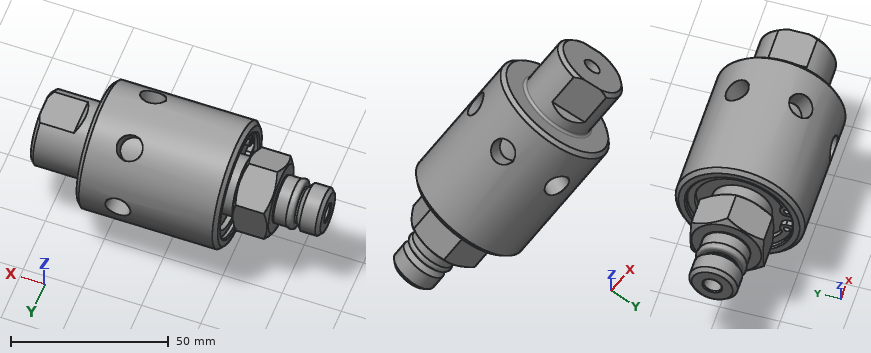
import cadquery as cq
import math

total_length = 96.1
body_diameter = 42.8

shank_radius = 16.1 / 2
tip_chamfer = 1.25
thread_end = 6.5
relief_start = 8.3
relief_radius = 12.1 / 2
ring_start = 8.9
ring_end = 11.2
ring_crown_radius = 8.4
ring_runout_slope = 0.5
undercut_radius = 16.0 / 2
undercut_length = 0.4

hex_start = 15.8
hex_end = 28.0
hex_across_flats = 24.0
hex_face_radius = 11.5
hex_chamfer_angle = 30.0
collar_radius = 20.0 / 2
collar_chamfer = 0.6

housing_start = 29.7
housing_end = 77.5
housing_radius = body_diameter / 2
housing_chamfer = 1.3

recess_radius = 35.1 / 2
recess_chamfer = 0.5
groove_radius = 37.2 / 2
recess_floor = 33.3
clip_thickness = 1.8
clip_start = recess_floor - clip_thickness

radial_hole_count = 6
radial_hole_diameter = 8.5
radial_hole_x = 63.0
radial_hole_floor_radius = 14.4

neck_radius = 25.4 / 2
neck_fillet = 0.9
neck_chamfer = 1.25
flat_half_distance = 11.0
flat_start = 83.4

bore_diameter = 6.0
bore_chamfer = 0.4

clip_inner_radius = 15.2
ear_radius = 2.3
ear_hole_diameter = 2.0
ear_hole_y = -15.3
ear_hole_z = 4.6


def x_cylinder(radius, start, end):
    """Solid cylinder on the X axis from X = start to X = end."""
    return cq.Workplane("YZ", origin=(start, 0, 0)).circle(radius).extrude(end - start)


def turned_blank():
    """Shank, collar, housing and neck as one turned profile."""
    ring_middle = (ring_start + ring_end) / 2
    ring_corner = ring_crown_radius - (ring_middle - ring_start)
    fillet_offset = neck_fillet * (1 - math.sqrt(0.5))
    profile = (
        cq.Workplane("XY")
        .moveTo(0, 0)
        .lineTo(0, shank_radius - tip_chamfer)
        .lineTo(tip_chamfer, shank_radius)
        .lineTo(thread_end, shank_radius)
        .lineTo(relief_start, relief_radius)
        .lineTo(ring_start, relief_radius)
        .lineTo(ring_start, ring_corner)
        .spline(
            [(ring_middle, ring_crown_radius), (ring_end, shank_radius)],
            tangents=[(0, 1), (1, -ring_runout_slope)],
            includeCurrent=True,
        )
        .lineTo(hex_start - undercut_length, shank_radius)
        .lineTo(hex_start - undercut_length, undercut_radius)
        .lineTo(hex_end, undercut_radius)
        .lineTo(hex_end, collar_radius + collar_chamfer)
        .lineTo(hex_end + collar_chamfer, collar_radius)
        .lineTo(housing_start, collar_radius)
        .lineTo(housing_start, housing_radius - housing_chamfer)
        .lineTo(housing_start + housing_chamfer, housing_radius)
        .lineTo(housing_end - housing_chamfer, housing_radius)
        .lineTo(housing_end, housing_radius - housing_chamfer)
        .lineTo(housing_end, neck_radius + neck_fillet)
        .threePointArc(
            (housing_end + fillet_offset, neck_radius + fillet_offset),
            (housing_end + neck_fillet, neck_radius),
        )
        .lineTo(total_length - neck_chamfer, neck_radius)
        .lineTo(total_length, neck_radius - neck_chamfer)
        .lineTo(total_length, 0)
        .close()
    )
    return profile.revolve(360, (0, 0, 0), (1, 0, 0))


def hexagon():
    """Hexagon with corners up and down, its corners chamfered at both ends."""
    corner_radius = hex_across_flats / math.sqrt(3)
    prism = (
        cq.Workplane("YZ", origin=(hex_start, 0, 0))
        .polygon(6, 2 * corner_radius)
        .extrude(hex_end - hex_start)
        .rotate((0, 0, 0), (1, 0, 0), 90)
    )
    chamfer_length = (corner_radius - hex_face_radius) * math.tan(math.radians(hex_chamfer_angle))
    envelope = (
        cq.Workplane("XY")
        .moveTo(hex_start, 0)
        .lineTo(hex_start, hex_face_radius)
        .lineTo(hex_start + chamfer_length, corner_radius)
        .lineTo(hex_end - chamfer_length, corner_radius)
        .lineTo(hex_end, hex_face_radius)
        .lineTo(hex_end, 0)
        .close()
        .revolve(360, (0, 0, 0), (1, 0, 0))
    )
    return prism.intersect(envelope)


def front_recess():
    """Ring-shaped recess around the collar, with a groove at its floor."""
    return (
        cq.Workplane("XY")
        .moveTo(housing_start, collar_radius)
        .lineTo(housing_start, recess_radius + recess_chamfer)
        .lineTo(housing_start + recess_chamfer, recess_radius)
        .lineTo(clip_start, recess_radius)
        .lineTo(clip_start, groove_radius)
        .lineTo(recess_floor, groove_radius)
        .lineTo(recess_floor, collar_radius)
        .close()
        .revolve(360, (0, 0, 0), (1, 0, 0))
    )


def radial_holes():
    """Blind holes around the housing, all ending on one inner cylinder."""
    drill = cq.Workplane("XY", origin=(radial_hole_x, 0, 0)).circle(radial_hole_diameter / 2)
    drill = drill.extrude(body_diameter).rotate((0, 0, 0), (1, 0, 0), 90)
    core = x_cylinder(radial_hole_floor_radius, housing_start, housing_end)
    blind_drill = drill.cut(core)
    holes = cq.Workplane("XY")
    for index in range(radial_hole_count):
        holes = holes.add(blind_drill.rotate((0, 0, 0), (1, 0, 0), index * 360 / radial_hole_count))
    return holes.combine()


def wrench_flats():
    """Two cuts above and below the neck, each starting with a 45 degree slope."""
    slope = neck_radius - flat_half_distance
    upper = (
        cq.Workplane("XZ")
        .moveTo(flat_start - slope, neck_radius)
        .lineTo(flat_start, flat_half_distance)
        .lineTo(total_length, flat_half_distance)
        .lineTo(total_length, neck_radius)
        .close()
        .extrude(neck_radius, both=True)
    )
    return upper.union(upper.mirror("XY"))


def through_bore():
    """Bore along the whole axis with a small chamfer at the tip."""
    bore_radius = bore_diameter / 2
    return (
        cq.Workplane("XY")
        .moveTo(0, 0)
        .lineTo(0, bore_radius + bore_chamfer)
        .lineTo(bore_chamfer, bore_radius)
        .lineTo(total_length, bore_radius)
        .lineTo(total_length, 0)
        .close()
        .revolve(360, (0, 0, 0), (1, 0, 0))
    )


def make_union_body():
    """Rotary union: shank, hexagon, housing and rear neck in one solid."""
    body = turned_blank().union(hexagon())
    for cutter in (front_recess(), radial_holes(), wrench_flats(), through_bore()):
        body = body.cut(cutter)
    return body


def make_retaining_ring():
    """Internal circlip: open ring with two eared ends facing -Y."""
    ring = x_cylinder(groove_radius, clip_start, recess_floor)
    ring = ring.cut(x_cylinder(clip_inner_radius, clip_start, recess_floor))
    gap_half_width = ear_hole_z - ear_radius
    gap = cq.Workplane("XY").box(clip_thickness, groove_radius, 2 * gap_half_width, centered=(False, False, True))
    ring = ring.cut(gap.translate((clip_start, -groove_radius, 0)))
    for side in (1, -1):
        centre = (0, ear_hole_y, side * ear_hole_z)
        ear = x_cylinder(ear_radius, clip_start, recess_floor).translate(centre)
        pliers_hole = x_cylinder(ear_hole_diameter / 2, clip_start, recess_floor).translate(centre)
        ring = ring.union(ear).cut(pliers_hole)
    return ring


union_body = make_union_body()
retaining_ring = make_retaining_ring()

result = cq.Compound.makeCompound([union_body.val(), retaining_ring.val()])